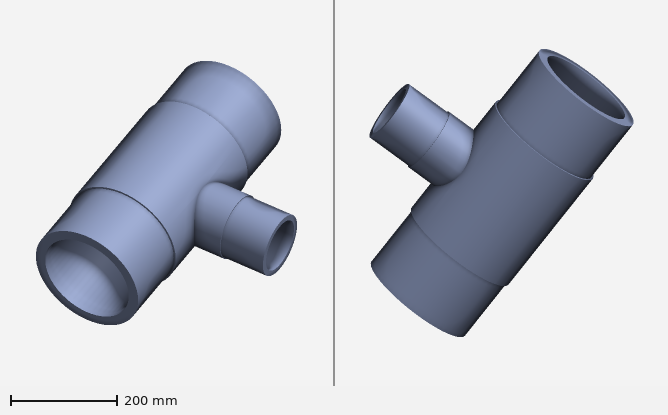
import cadquery as cq

run_length = 522.0
run_diameter = 225.0
run_bore = 184.0

body_length = 262.0
body_diameter = 233.5

overall_width = 383.5
branch_reach = overall_width - body_diameter / 2
branch_diameter = 125.0
branch_bore = 102.5
collar_reach = 174.0
collar_diameter = 129.5


def run_cylinder(diameter, length):
    """Cylinder along Y, centred on the origin."""
    return cq.Workplane("XZ").circle(diameter / 2).extrude(length / 2, both=True)


def branch_cylinder(diameter, reach):
    """Cylinder along +X, starting at the run axis."""
    return cq.Workplane("YZ").circle(diameter / 2).extrude(reach)


outside = (
    run_cylinder(run_diameter, run_length)
    .union(run_cylinder(body_diameter, body_length))
    .union(branch_cylinder(collar_diameter, collar_reach))
    .union(branch_cylinder(branch_diameter, branch_reach))
)

result = outside.cut(run_cylinder(run_bore, run_length)).cut(
    branch_cylinder(branch_bore, branch_reach)
)